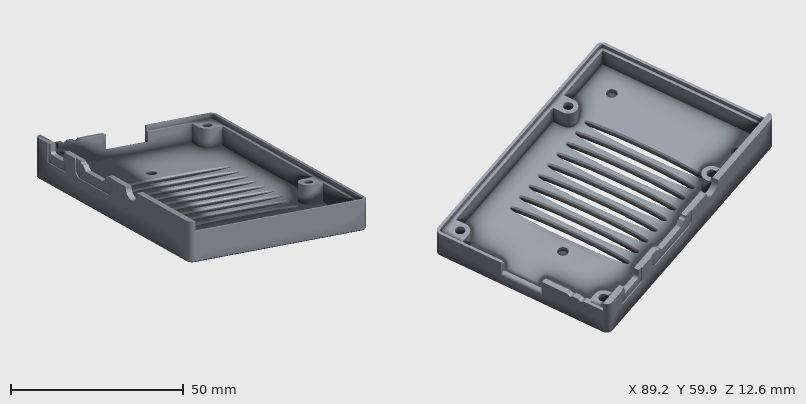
import cadquery as cq

length = 89.2
depth = 59.9
front_height = 12.6
rim_height = 9.45
front_wall = 2.0
back_wall = 2.0
side_wall = 1.8
floor = 2.0
corner_radius = 2.0
bottom_chamfer = 0.4

lip = 0.9
ledge_height = 7.9

boss_radius = 2.9
screw_diameter = 3.0
screw_columns = (5.5, 63.6)
screw_inset = 5.35
screw_rows = (screw_inset, depth - screw_inset)

pin_diameter = 3.4
pin_depth = 1.6
pin_centres = ((19.2, 28.0), (79.2, 6.6), (79.2, 49.6))

vent_count = 9
vent_pitch = 5.0
first_vent_x = 25.7
vent_y = depth / 2
vent_length = 40.5
vent_width = 2.85
vent_chamfer = 0.45

recess_depth = 0.3
usb_centre = 12.7
usb_recess_width = 10.4
usb_recess_drop = 6.0
usb_width = 7.85
usb_drop = 3.1
usb_radius = 1.0
hdmi_centre = 34.1
hdmi_recess_width = 21.4
hdmi_recess_drop = 5.5
hdmi_recess_radius = 2.5
hdmi_width = 15.5
hdmi_shoulder_width = 13.0
hdmi_shoulder_drop = 0.9
hdmi_drop = 2.4
hdmi_radius = 0.7
jack_x = 55.6
jack_radius = 3.2

card_start = 22.9
card_end = 37.0
card_sill = 4.55
sill_radius = 1.0
thick_wall_start = 6.9
groove_centres = (9.6, 13.3)
groove_radius = 1.0
groove_drop = 0.6


def box(x0, x1, y0, y1, z0, z1):
    """Axis-aligned box between two opposite corners."""
    return cq.Workplane("XY").box(x1 - x0, y1 - y0, z1 - z0, centered=False).translate((x0, y0, z0))


def front_notch(centre, width, drop, radius, reach):
    """Cutter open at the front wall's top, with rounded lower corners, reaching in from y = 0."""
    cutter = box(centre - width / 2, centre + width / 2, 0, reach, front_height - drop, front_height)
    if radius:
        cutter = cutter.edges("|Y and <Z").fillet(radius)
    return cutter


def make_shell():
    shell = box(0, length, 0, depth, 0, front_height).edges("|Z").fillet(corner_radius)
    shell = shell.faces("<Z").edges().chamfer(bottom_chamfer)
    shell = shell.cut(box(0, length, front_wall, depth, rim_height, front_height))
    shell = shell.cut(box(side_wall, length - side_wall, front_wall, depth - back_wall, floor, front_height))
    rabbet = box(lip, length - lip, front_wall, depth - lip, ledge_height, front_height)
    rabbet = rabbet.edges("|Z and >Y").fillet(corner_radius - lip)
    shell = shell.cut(rabbet)
    return shell.union(box(0, side_wall, thick_wall_start, card_start, ledge_height, rim_height))


def make_bosses():
    """Round bosses joined to the front or back wall; the left pair also fills the corners."""
    left_x = screw_columns[0]
    front_y = screw_rows[0]
    bosses = cq.Workplane("XY")
    for x in screw_columns:
        for y in screw_rows:
            web_start = lip if x == left_x else x - boss_radius
            wall_y = front_wall if y == front_y else depth - back_wall
            post = cq.Workplane("XY").circle(boss_radius).extrude(ledge_height).translate((x, y, 0))
            web = box(web_start, x + boss_radius, min(y, wall_y), max(y, wall_y), floor, ledge_height)
            bosses = bosses.add(post).add(web)
            if x == left_x:
                side_web = box(lip, x, y - boss_radius, y + boss_radius, floor, ledge_height)
                bosses = bosses.add(side_web)
    return bosses.combine()


def make_vents():
    """Straight elliptical cutters with a 45 degree flare of constant width at the floor's top."""
    half_width = vent_width / 2
    half_length = vent_length / 2
    straight = cq.Workplane("XY").ellipse(half_width, half_length).extrude(floor)
    flare = (
        cq.Workplane("XY", origin=(0, 0, floor - vent_chamfer))
        .ellipse(half_width, half_length)
        .extrude(vent_chamfer, taper=-45)
    )
    vent = straight.union(flare)
    vents = cq.Workplane("XY")
    for i in range(vent_count):
        vents = vents.add(vent.translate((first_vent_x + i * vent_pitch, vent_y, 0)))
    return vents.combine()


def make_hdmi_opening():
    """Shouldered slot through the front wall with 45 degree flanks below the shoulders."""
    upper = front_notch(hdmi_centre, hdmi_width, hdmi_shoulder_drop, hdmi_radius, front_wall)
    half_shoulder = hdmi_shoulder_width / 2
    half_bottom = half_shoulder - (hdmi_drop - hdmi_shoulder_drop)
    lower = (
        cq.Workplane("XZ")
        .moveTo(hdmi_centre - half_shoulder, front_height - hdmi_shoulder_drop)
        .lineTo(hdmi_centre - half_bottom, front_height - hdmi_drop)
        .lineTo(hdmi_centre + half_bottom, front_height - hdmi_drop)
        .lineTo(hdmi_centre + half_shoulder, front_height - hdmi_shoulder_drop)
        .close()
        .extrude(-front_wall)
        .faces("<Z")
        .edges("|Y")
        .fillet(hdmi_radius)
    )
    return upper.union(lower)


def make_front_openings():
    jack = (
        cq.Workplane("XZ", origin=(jack_x, 0, front_height))
        .circle(jack_radius)
        .extrude(-front_wall)
    )
    return (
        front_notch(usb_centre, usb_recess_width, usb_recess_drop, 0, recess_depth)
        .union(front_notch(usb_centre, usb_width, usb_drop, usb_radius, front_wall))
        .union(front_notch(hdmi_centre, hdmi_recess_width, hdmi_recess_drop, hdmi_recess_radius, recess_depth))
        .union(make_hdmi_opening())
        .union(jack)
    )


def make_card_opening():
    """Left-wall opening whose sill rounds over at the outside."""
    opening = box(0, side_wall, card_start, card_end, card_sill, rim_height)
    round_over = box(0, sill_radius, card_start, card_end, card_sill - sill_radius, card_sill)
    sill = (
        cq.Workplane("XZ", origin=(sill_radius, card_start, card_sill - sill_radius))
        .circle(sill_radius)
        .extrude(card_start - card_end)
    )
    return opening.union(round_over.cut(sill))


def make_grooves():
    centre_z = rim_height - groove_drop + groove_radius
    centres = [(y, centre_z) for y in groove_centres]
    return cq.Workplane("YZ").pushPoints(centres).circle(groove_radius).extrude(side_wall)


screw_centres = [(x, y) for x in screw_columns for y in screw_rows]
screw_holes = cq.Workplane("XY").pushPoints(screw_centres).circle(screw_diameter / 2).extrude(ledge_height)
pin_holes = (
    cq.Workplane("XY", origin=(0, 0, floor - pin_depth))
    .pushPoints(pin_centres)
    .circle(pin_diameter / 2)
    .extrude(pin_depth)
)

result = (
    make_shell()
    .union(make_bosses())
    .cut(screw_holes)
    .cut(pin_holes)
    .cut(make_vents())
    .cut(make_front_openings())
    .cut(make_card_opening())
    .cut(make_grooves())
)